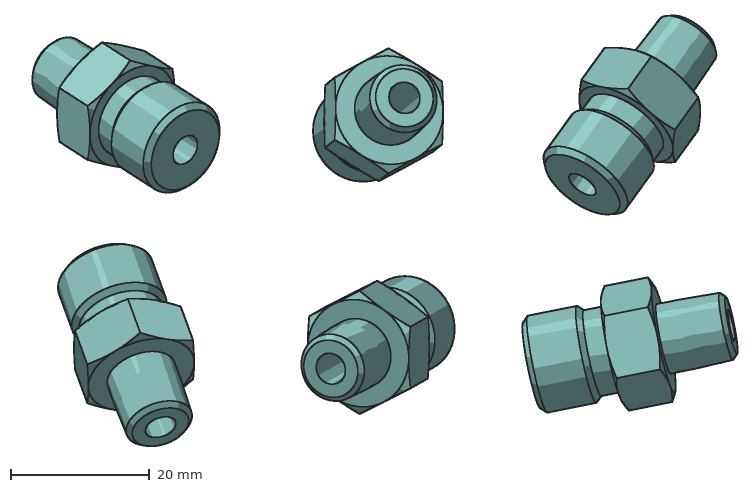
import cadquery as cq
import math

total_length = 29.45
small_chamfer_end = 0.75
taper_end = 6.7
hex_start = 10.0
hex_end = 17.5
relief_end = 20.5
shoulder_end = 21.4
large_chamfer_length = 0.85

small_face_diameter = 8.48
taper_small_diameter = 9.9
small_diameter = 10.25
neck_diameter = 12.67
large_diameter = 14.3
bore_diameter = 4.57

across_flats = 15.88
across_corners = across_flats / math.cos(math.pi / 6)
hex_chamfer_length = 0.55


def revolve_profile(stations):
    """Revolve (x, diameter) stations about the X axis into a solid."""
    outer = [(x, diameter / 2) for x, diameter in stations]
    first_x = stations[0][0]
    last_x = stations[-1][0]
    profile = cq.Workplane("XY").polyline([(first_x, 0), *outer, (last_x, 0)]).close()
    return profile.revolve(360, (0, 0, 0), (1, 0, 0))


body = revolve_profile([
    (0, small_face_diameter),
    (small_chamfer_end, taper_small_diameter),
    (taper_end, small_diameter),
    (hex_start, small_diameter),
    (hex_start, neck_diameter),
    (relief_end, neck_diameter),
    (shoulder_end, large_diameter),
    (total_length - large_chamfer_length, large_diameter),
    (total_length, neck_diameter),
])

hexagon = (
    cq.Workplane("YZ", origin=(hex_start, 0, 0))
    .transformed(rotate=(0, 0, 90))
    .polygon(6, across_corners)
    .extrude(hex_end - hex_start)
)
chamfer_envelope = revolve_profile([
    (hex_start, across_flats),
    (hex_start + hex_chamfer_length, across_corners),
    (hex_end - hex_chamfer_length, across_corners),
    (hex_end, across_flats),
])
hexagon = hexagon.intersect(chamfer_envelope)

bore = cq.Workplane("YZ").circle(bore_diameter / 2).extrude(total_length)

result = body.union(hexagon).cut(bore)